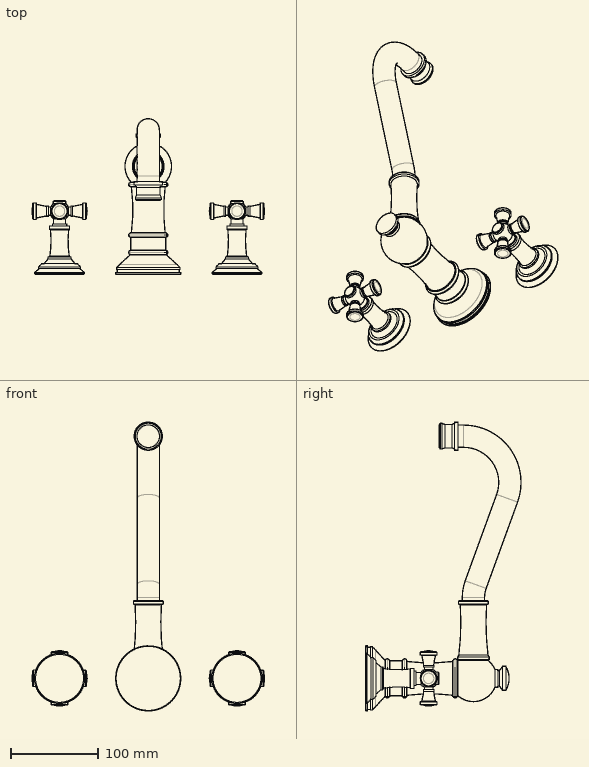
import cadquery as cq
import math


handle_spacing = 101.8
ball_y = 124.0
ball_radius = 27.0

spout_foot_bevel = 0.5
handle_foot_bevel = 1.3

spout_rim_radius = 37.5
spout_rim_height = 2.3
spout_drum_radius = 35.8
spout_band_radius = 36.5
spout_band_bottom = 5.5
spout_band_top = 8.0
spout_shoulder_radius = 32.8
spout_shoulder_height = 11.5
spout_cone_top_radius = 21.0
spout_cone_top = 22.5
barrel_radius = 20.2
barrel_top = 45.0
waist_end_radius = 20.0
waist_radius = 18.0
waist_top = 103.0
bead_positions = (25.2, barrel_top, waist_top)
bead_radius = 2.3
bead_collar_radius = 20.5
bead_collar_half_width = 3.0

knob_neck_radius = 10.3
knob_neck_end = 152.2
knob_groove_radius = 9.0
knob_groove_end = 154.0
knob_radius = 14.0
knob_rim_start = 157.5
knob_rim_end = 161.2
knob_end = 165.0

riser_seat_radius = 17.2
riser_ring_radius = 18.2
riser_ring_bottom = 22.0
riser_ring_step = 24.5
riser_ring_top = 26.5
riser_bottom_radius = 17.0
riser_waist_radius = 14.5
riser_waist_z = 64.7
riser_top_radius = 15.3
riser_top = 84.2
cap_radius = 17.2
cap_chamfer = 1.3
cap_top = 89.5

tube_radius = 13.0
tube_straight_top = 93.0
tube_lean = math.radians(20)
lower_bend_radius = 43.0
upper_bend_radius = 53.0
outlet_z = 278.0

outlet_start_y = 106.5
outlet_ring_radius = 16.2
outlet_ring_length = 4.0
outlet_step_radius = 15.0
outlet_step_end = 7.0
outlet_barrel_radius = 13.5
outlet_barrel_end = 15.3
outlet_lip_radius = 15.0
outlet_lip_start = 18.5
outlet_lip_end = 20.2
outlet_mouth_radius = 13.0
outlet_length = 22.0

foot_radius = 29.0
foot_rim_height = 2.0
foot_neck_radius = 23.5
foot_neck_height = 6.5
foot_band_radius = 24.2
foot_band_top = 8.5
foot_shoulder_radius = 20.5
foot_shoulder_top = 12.3
foot_cone_radius = 18.0
foot_cone_top_radius = 13.3
foot_cone_top = 18.0
foot_collar_top = 20.0
column_bottom = 21.0
column_bottom_radius = 11.3
column_waist_radius = 10.0
column_waist_y = 39.8
column_top_radius = 10.5
column_top = 51.0
column_ring_radius = 11.5
column_ring_bottom = 52.0
column_ring_top = 55.7
spindle_collar_radius = 8.3
spindle_collar_top = 58.0
spindle_radius = 7.0

hub_y = 72.5
hub_radius = 11.3
hub_cap_radius = 7.3
hub_cap_chamfer = 1.0
hub_cap_top = 84.5
arm_neck_radius = 5.0
arm_collar_radius = 6.0
arm_collar_start = 13.0
arm_collar_end = 15.0
arm_start_radius = 5.5
arm_flare_radius = 8.0
arm_flare_end = 26.2
arm_head_radius = 9.5
arm_head_start = 27.0
arm_head_end = 30.0
arm_face_radius = 8.5
arm_face = 31.0
arm_dome_radius = 6.0
arm_length = 32.0
arm_count = 4


def turn(outline):
    """Close an outline of radius against height onto the Z axis and revolve it."""
    return outline.close().revolve(360, (0, 0, 0), (0, 1, 0))


def start_outline():
    """Start an outline whose first coordinate is radius and second is height along Z."""
    return cq.Workplane("XZ")


def along_y(shape):
    """Lay a shape that was turned about Z onto the +Y axis."""
    return shape.rotate((0, 0, 0), (1, 0, 0), -90)


def dome_middle(rim_radius, rim_height, top_height):
    """Radius and height of a point halfway in along a shallow spherical dome."""
    rise = top_height - rim_height
    sphere_radius = (rim_radius**2 + rise**2) / (2 * rise)
    middle_radius = rim_radius / 2
    drop = sphere_radius - math.sqrt(sphere_radius**2 - middle_radius**2)
    return (middle_radius, top_height - drop)


def ball(radius, y):
    return cq.Workplane("XY").sphere(radius).translate((0, y, 0))


def make_spout_base():
    waist_middle = (barrel_top + waist_top) / 2
    outline = (
        start_outline()
        .lineTo(spout_rim_radius - spout_foot_bevel, 0)
        .lineTo(spout_rim_radius, spout_foot_bevel)
        .lineTo(spout_rim_radius, spout_rim_height)
        .lineTo(spout_drum_radius, spout_rim_height)
        .lineTo(spout_drum_radius, spout_band_bottom)
        .lineTo(spout_band_radius, spout_band_bottom)
        .lineTo(spout_band_radius, spout_band_top)
        .lineTo(spout_shoulder_radius, spout_shoulder_height)
        .lineTo(spout_cone_top_radius, spout_cone_top)
        .lineTo(barrel_radius, spout_cone_top)
        .lineTo(barrel_radius, barrel_top)
        .lineTo(waist_end_radius, barrel_top)
        .threePointArc((waist_radius, waist_middle), (waist_end_radius, waist_top))
        .lineTo(waist_end_radius, ball_y)
        .lineTo(0, ball_y)
    )
    return along_y(turn(outline))


def make_bead(y):
    """Half-round ring on a low collar around the spout base."""
    ring = cq.Workplane("XY").add(
        cq.Solid.makeTorus(barrel_radius, bead_radius, cq.Vector(0, y, 0), cq.Vector(0, 1, 0))
    )
    collar = (
        cq.Workplane("XY")
        .circle(bead_collar_radius)
        .extrude(bead_collar_half_width, both=True)
    )
    return along_y(collar).translate((0, y, 0)).union(ring)


def make_knob():
    outline = (
        start_outline()
        .moveTo(0, ball_y)
        .lineTo(knob_neck_radius, ball_y)
        .lineTo(knob_neck_radius, knob_neck_end)
        .lineTo(knob_groove_radius, knob_neck_end)
        .lineTo(knob_groove_radius, knob_groove_end)
        .lineTo(knob_radius, knob_rim_start)
        .lineTo(knob_radius, knob_rim_end)
        .threePointArc(dome_middle(knob_radius, knob_rim_end, knob_end), (0, knob_end))
    )
    return along_y(turn(outline))


def make_riser():
    outline = (
        start_outline()
        .lineTo(riser_seat_radius, 0)
        .lineTo(riser_seat_radius, riser_ring_bottom)
        .lineTo(riser_ring_radius, riser_ring_bottom)
        .lineTo(riser_ring_radius, riser_ring_step)
        .lineTo(riser_bottom_radius, riser_ring_top)
        .threePointArc((riser_waist_radius, riser_waist_z), (riser_top_radius, riser_top))
        .lineTo(cap_radius, riser_top + cap_chamfer)
        .lineTo(cap_radius, cap_top - cap_chamfer)
        .lineTo(cap_radius - cap_chamfer, cap_top)
        .lineTo(0, cap_top)
    )
    return turn(outline).translate((0, ball_y, 0))


def make_tube():
    """Swan neck: upright, leaning back, then bent forward until it is level."""
    sine = math.sin(tube_lean)
    cosine = math.cos(tube_lean)
    half_lean = tube_lean / 2
    lower_middle = (
        ball_y + lower_bend_radius * (1 - math.cos(half_lean)),
        tube_straight_top + lower_bend_radius * math.sin(half_lean),
    )
    lower_end = (
        ball_y + lower_bend_radius * (1 - cosine),
        tube_straight_top + lower_bend_radius * sine,
    )
    upper_center_z = outlet_z - upper_bend_radius
    upper_start_z = upper_center_z - upper_bend_radius * sine
    upper_start_y = lower_end[0] + (upper_start_z - lower_end[1]) * math.tan(tube_lean)
    upper_center_y = upper_start_y - upper_bend_radius * cosine
    upper_middle_angle = (math.pi / 2 - tube_lean) / 2
    upper_middle = (
        upper_center_y + upper_bend_radius * math.cos(upper_middle_angle),
        upper_center_z + upper_bend_radius * math.sin(upper_middle_angle),
    )
    path = (
        cq.Workplane("YZ")
        .moveTo(ball_y, riser_top)
        .lineTo(ball_y, tube_straight_top)
        .threePointArc(lower_middle, lower_end)
        .lineTo(upper_start_y, upper_start_z)
        .threePointArc(upper_middle, (upper_center_y, outlet_z))
        .lineTo(outlet_start_y - outlet_ring_length, outlet_z)
    )
    section = cq.Workplane("XY", origin=(0, ball_y, riser_top)).circle(tube_radius)
    return section.sweep(path)


def make_outlet():
    outline = (
        start_outline()
        .lineTo(outlet_ring_radius, 0)
        .lineTo(outlet_ring_radius, outlet_ring_length)
        .lineTo(outlet_step_radius, outlet_ring_length)
        .lineTo(outlet_barrel_radius, outlet_step_end)
        .lineTo(outlet_barrel_radius, outlet_barrel_end)
        .lineTo(outlet_lip_radius, outlet_lip_start)
        .lineTo(outlet_lip_radius, outlet_lip_end)
        .lineTo(outlet_mouth_radius, outlet_length)
        .lineTo(0, outlet_length)
    )
    forward = turn(outline).rotate((0, 0, 0), (1, 0, 0), 90)
    return forward.translate((0, outlet_start_y, outlet_z))


def make_spout():
    spout = make_spout_base().union(ball(ball_radius, ball_y))
    for y in bead_positions:
        spout = spout.union(make_bead(y))
    for part in (make_knob(), make_riser(), make_tube(), make_outlet()):
        spout = spout.union(part)
    return spout


def make_pedestal():
    outline = (
        start_outline()
        .lineTo(foot_radius - handle_foot_bevel, 0)
        .lineTo(foot_radius, handle_foot_bevel)
        .lineTo(foot_radius, foot_rim_height)
        .lineTo(foot_neck_radius, foot_neck_height)
        .lineTo(foot_band_radius, foot_neck_height)
        .lineTo(foot_band_radius, foot_band_top)
        .lineTo(foot_shoulder_radius, foot_shoulder_top)
        .lineTo(foot_cone_radius, foot_shoulder_top)
        .lineTo(foot_cone_top_radius, foot_cone_top)
        .lineTo(foot_cone_top_radius, foot_collar_top)
        .lineTo(column_bottom_radius, column_bottom)
        .threePointArc((column_waist_radius, column_waist_y), (column_top_radius, column_top))
        .lineTo(column_ring_radius, column_ring_bottom)
        .lineTo(column_ring_radius, column_ring_top)
        .lineTo(spindle_collar_radius, column_ring_top)
        .lineTo(spindle_collar_radius, spindle_collar_top)
        .lineTo(spindle_radius, spindle_collar_top)
        .lineTo(spindle_radius, hub_y)
        .lineTo(hub_cap_radius, hub_y)
        .lineTo(hub_cap_radius, hub_cap_top - hub_cap_chamfer)
        .lineTo(hub_cap_radius - hub_cap_chamfer, hub_cap_top)
        .lineTo(0, hub_cap_top)
    )
    return along_y(turn(outline))


def make_arm(angle):
    """Flared arm turned about Z, then swung about the pedestal axis."""
    outline = (
        start_outline()
        .lineTo(arm_neck_radius, 0)
        .lineTo(arm_neck_radius, arm_collar_start)
        .lineTo(arm_collar_radius, arm_collar_start)
        .lineTo(arm_collar_radius, arm_collar_end)
        .lineTo(arm_start_radius, arm_collar_end)
        .lineTo(arm_flare_radius, arm_flare_end)
        .lineTo(arm_head_radius, arm_head_start)
        .lineTo(arm_head_radius, arm_head_end)
        .lineTo(arm_face_radius, arm_face)
        .lineTo(arm_dome_radius, arm_face)
        .threePointArc(dome_middle(arm_dome_radius, arm_face, arm_length), (0, arm_length))
    )
    return turn(outline).rotate((0, 0, 0), (0, 1, 0), angle).translate((0, hub_y, 0))


def make_handle(x):
    handle = make_pedestal().union(ball(hub_radius, hub_y))
    for index in range(arm_count):
        handle = handle.union(make_arm(index * 360 / arm_count))
    return handle.translate((x, 0, 0))


spout = make_spout()
handles = [make_handle(x).solids().val() for x in (-handle_spacing, handle_spacing)]
result = cq.Compound.makeCompound([spout.solids().val(), *handles])